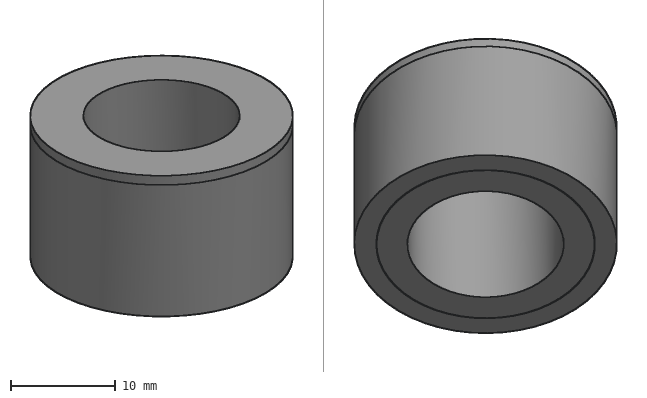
import cadquery as cq

outer_diameter = 25.2
total_height = 15.2

bore_diameter = 15.0
stem_diameter = 20.9
flange_thickness = 1.0

sleeve_bore_diameter = 21.0
sleeve_height = total_height - flange_thickness


def make_bushing():
    """Bushing with a full-height stem, a flange at the top and a through bore."""
    stem = cq.Workplane("XY").circle(stem_diameter / 2).extrude(total_height)
    flange = (
        cq.Workplane("XY")
        .workplane(offset=sleeve_height)
        .circle(outer_diameter / 2)
        .extrude(flange_thickness)
    )
    bore = cq.Workplane("XY").circle(bore_diameter / 2).extrude(total_height)
    return stem.union(flange).cut(bore)


def make_sleeve():
    """Plain ring that fits around the stem with clearance and touches the flange."""
    return (
        cq.Workplane("XY")
        .circle(outer_diameter / 2)
        .circle(sleeve_bore_diameter / 2)
        .extrude(sleeve_height)
    )


bushing = make_bushing()
sleeve = make_sleeve()

result = cq.Compound.makeCompound([bushing.val(), sleeve.val()])